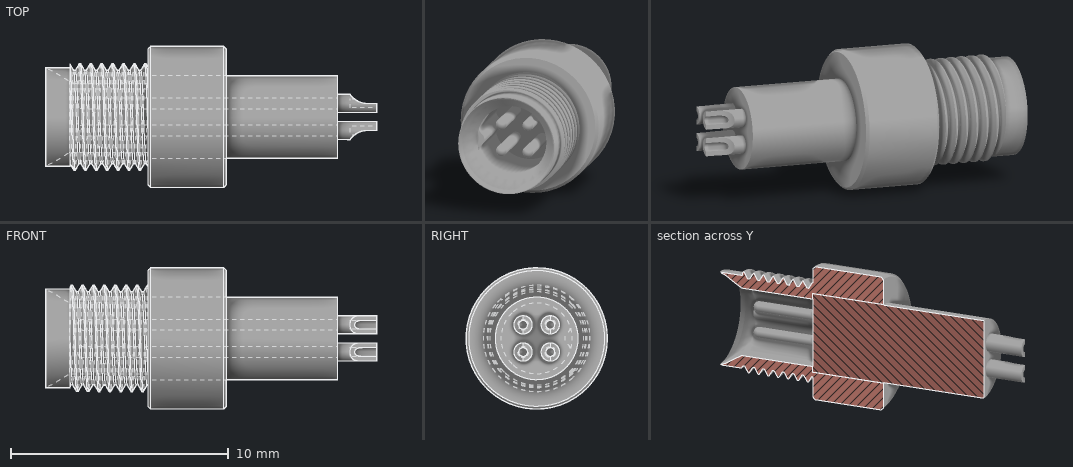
import cadquery as cq
import math

TOTAL_LENGTH = 15.2
NOSE_END = 1.12
COLLAR_START = 4.69
COLLAR_END = 8.3
INSERT_END = 13.4

NOSE_RADIUS = 2.27
COLLAR_RADIUS = 3.25
COLLAR_CHAMFER = 0.13
RIM_RADIUS = 2.24
CONE_START_RADIUS = 2.12
RIM_DEPTH = 0.3
CONE_END_DEPTH = 1.1
BORE_RADIUS = 1.63

KEY_TIP_OFFSET = 1.29
KEY_TIP_RADIUS = 0.33
KEY_FLANK_ANGLE = 45
KEY_BASE_FILLET = 0.25

THREAD_PITCH = 0.5
THREAD_RADIUS = 2.45
THREAD_ROOT_RADIUS = 2.15
THREAD_CREST_WIDTH = THREAD_PITCH / 8
THREAD_FLANK_ANGLE = 30
THREAD_EMBED = 0.04
THREAD_HELIX_START = 0.45
THREAD_TURNS = 9

INSERT_RADIUS = 1.9
INSERT_START = COLLAR_START

PIN_SPACING = 1.25
PIN_RADIUS = 0.25
PIN_TIP = 1.45
CUP_RADIUS = 0.42
CUP_HOLE_RADIUS = 0.2
CUP_CUT_START = INSERT_END + 0.57
CUP_CUT_FLAT_START = INSERT_END + 1.37


def rod(radius, start, end, y=0, z=0):
    """Cylinder parallel to X between two stations."""
    return cq.Workplane("YZ", origin=(start, y, z)).circle(radius).extrude(end - start)


def thread_ridge():
    """Helical V ridge, trimmed flat at the nose and at the collar."""
    base_radius = THREAD_ROOT_RADIUS - THREAD_EMBED
    flank_slope = math.tan(math.radians(THREAD_FLANK_ANGLE))
    half_crest = THREAD_CREST_WIDTH / 2
    half_base = half_crest + (THREAD_RADIUS - base_radius) * flank_slope
    helix = cq.Wire.makeHelix(THREAD_PITCH, THREAD_PITCH * THREAD_TURNS, THREAD_ROOT_RADIUS)
    ridge = (
        cq.Workplane("XZ")
        .polyline([
            (base_radius, -half_base),
            (THREAD_RADIUS, -half_crest),
            (THREAD_RADIUS, half_crest),
            (base_radius, half_base),
        ])
        .close()
        .sweep(cq.Workplane(helix), isFrenet=True)
        .rotate((0, 0, 0), (0, 1, 0), 90)
        .translate((THREAD_HELIX_START, 0, 0))
    )
    return ridge.intersect(rod(COLLAR_RADIUS, NOSE_END, COLLAR_START))


def bore_key():
    """Round-nosed key along the bore wall, from the end of the lead-in cone to the insert."""
    flank = math.radians(KEY_FLANK_ANGLE)
    arc_half_width = KEY_TIP_RADIUS * math.cos(flank)
    arc_end = KEY_TIP_OFFSET + KEY_TIP_RADIUS * (1 - math.sin(flank))
    root = (BORE_RADIUS + THREAD_ROOT_RADIUS) / 2
    root_half_width = arc_half_width + (root - arc_end) * math.tan(flank)
    key = (
        cq.Workplane("YZ", origin=(CONE_END_DEPTH, 0, 0))
        .moveTo(root, -root_half_width)
        .lineTo(arc_end, -arc_half_width)
        .threePointArc((KEY_TIP_OFFSET, 0), (arc_end, arc_half_width))
        .lineTo(root, root_half_width)
        .close()
        .extrude(INSERT_START - CONE_END_DEPTH)
    )
    return key.intersect(rod(root, CONE_END_DEPTH, INSERT_START))


def make_shell():
    """Threaded shell with its collar, lead-in cone, keyed bore and insert seat."""
    collar = rod(COLLAR_RADIUS, COLLAR_START, COLLAR_END).edges().chamfer(COLLAR_CHAMFER)
    nose = rod(NOSE_RADIUS, 0, NOSE_END)
    core = rod(THREAD_ROOT_RADIUS, NOSE_END, COLLAR_START)
    opening = (
        cq.Workplane("XY")
        .polyline([
            (0, 0),
            (0, RIM_RADIUS),
            (RIM_DEPTH, CONE_START_RADIUS),
            (CONE_END_DEPTH, BORE_RADIUS),
            (INSERT_START, BORE_RADIUS),
            (INSERT_START, 0),
        ])
        .close()
        .revolve(360, (0, 0, 0), (1, 0, 0))
    )
    seat = rod(INSERT_RADIUS, INSERT_START, COLLAR_END)
    body = nose.union(core).union(collar).cut(opening).cut(seat).union(bore_key())

    key_zone = cq.selectors.BoxSelector(
        (CONE_END_DEPTH, KEY_TIP_OFFSET + KEY_TIP_RADIUS / 2, -BORE_RADIUS / 2),
        (INSERT_START, BORE_RADIUS, BORE_RADIUS / 2),
    )
    body = body.edges("|X").edges(key_zone).fillet(KEY_BASE_FILLET)
    return body.union(thread_ridge())


def make_insert(pin_places):
    """Plain cylinder with one through hole for each pin."""
    insert = rod(INSERT_RADIUS, INSERT_START, INSERT_END)
    for y, z in pin_places:
        insert = insert.cut(rod(PIN_RADIUS, INSERT_START, INSERT_END, y, z))
    return insert


def make_pin(y, z):
    """Round-tipped contact with a solder cup whose opening faces away from the X axis."""
    outward = math.copysign(1, y)
    tip_centre = PIN_TIP + PIN_RADIUS
    tip = cq.Workplane("XY", origin=(tip_centre, y, z)).sphere(PIN_RADIUS)
    contact = rod(PIN_RADIUS, tip_centre, INSERT_END, y, z).union(tip)
    cup = rod(CUP_RADIUS, INSERT_END, TOTAL_LENGTH, y, z)
    cup_hole = rod(CUP_HOLE_RADIUS, CUP_CUT_START, TOTAL_LENGTH, y, z)

    cut = (
        cq.Workplane("XY", origin=(0, y, z - CUP_RADIUS))
        .moveTo(TOTAL_LENGTH, 0)
        .lineTo(CUP_CUT_FLAT_START, 0)
        .tangentArcPoint((CUP_CUT_START, outward * CUP_RADIUS), relative=False)
        .lineTo(TOTAL_LENGTH, outward * CUP_RADIUS)
        .close()
        .extrude(2 * CUP_RADIUS)
    )
    return contact.union(cup.cut(cup_hole).cut(cut))


half_spacing = PIN_SPACING / 2
pin_places = [(y, z) for y in (-half_spacing, half_spacing) for z in (-half_spacing, half_spacing)]

shell = make_shell()
insert = make_insert(pin_places)
pins = [make_pin(y, z) for y, z in pin_places]

result = cq.Compound.makeCompound([shell.val(), insert.val(), *[pin.val() for pin in pins]])